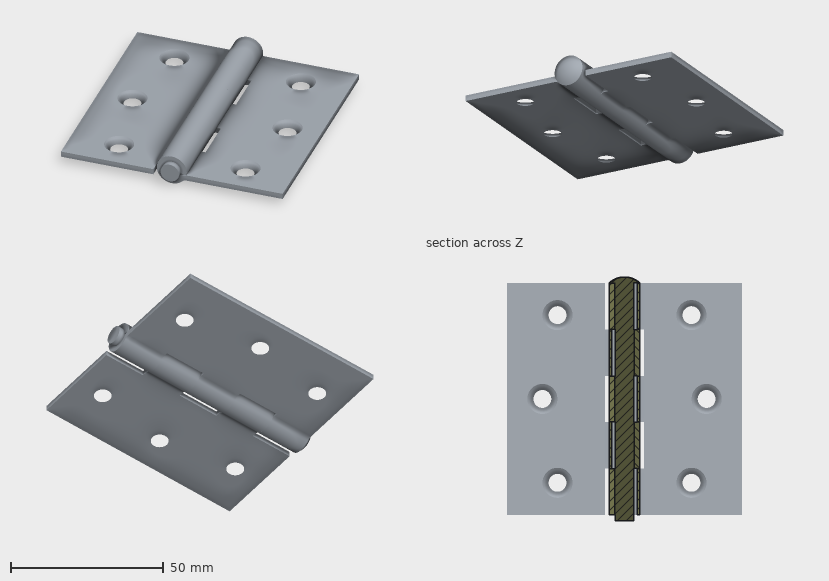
import cadquery as cq
import math

leaf_length = 76.0
hinge_width = 77.0
thickness = 2.0
pin_diameter = 6.4
pin_stub = 2.0
head_height = 2.2
knuckle_count = 5
leaf_gap = 1.2
leaf_top = -1.1

bend_radius = 2.0
curl_end_angle = -12

screw_diameter = 5.8
countersink_diameter = 9.85
countersink_angle = 90
screw_pitch = 27.5
outer_screw_x = 22.0
middle_screw_x = 26.9

pin_radius = pin_diameter / 2
barrel_radius = pin_radius + thickness
knuckle_length = leaf_length / knuckle_count
leaf_edge = barrel_radius + leaf_gap
leaf_bottom = leaf_top - thickness
front_end = -leaf_length / 2
back_end = leaf_length / 2

bend_z = leaf_bottom - bend_radius
bend_x = math.sqrt((barrel_radius + bend_radius) ** 2 - bend_z**2)
bend_angle = math.degrees(math.atan2(bend_z, bend_x))


def polar(radius, angle, center=(0, 0)):
    """Point at a radius and an angle in degrees around a center in the XZ plane."""
    turn = math.radians(angle)
    return center[0] + radius * math.cos(turn), center[1] + radius * math.sin(turn)


def cylinder_along_y(radius, start, length):
    """Cylinder on the hinge axis, running from start toward +Y."""
    return cq.Workplane("XZ", origin=(0, start, 0)).circle(radius).extrude(-length)


def make_knuckle(start):
    """Rolled end of the sheet for the +X leaf, including its tab up to the plate."""
    bend_center = (bend_x, bend_z)
    inner_bend_radius = bend_radius + thickness
    bend_middle = (90 + bend_angle + 180) / 2
    curl_middle = (curl_end_angle + 360 + bend_angle) / 2
    return (
        cq.Workplane("XZ", origin=(0, start, 0))
        .moveTo(*polar(pin_radius, curl_end_angle))
        .threePointArc(polar(pin_radius, curl_middle), polar(pin_radius, bend_angle))
        .threePointArc(polar(inner_bend_radius, bend_middle, bend_center), (bend_x, leaf_top))
        .lineTo(leaf_edge, leaf_top)
        .lineTo(leaf_edge, leaf_bottom)
        .lineTo(bend_x, leaf_bottom)
        .threePointArc(
            polar(bend_radius, bend_middle, bend_center), polar(barrel_radius, bend_angle)
        )
        .threePointArc(polar(barrel_radius, curl_middle), polar(barrel_radius, curl_end_angle))
        .close()
        .extrude(-knuckle_length)
    )


def make_leaf(knuckle_numbers):
    """Leaf on the +X side, with knuckles at the given places counted from the -Y end."""
    plate_width = hinge_width / 2 - leaf_edge
    leaf = cq.Workplane("XY").box(plate_width, leaf_length, thickness).translate(
        (leaf_edge + plate_width / 2, 0, leaf_top - thickness / 2)
    )
    for number in knuckle_numbers:
        leaf = leaf.union(make_knuckle(front_end + number * knuckle_length))

    screw_points = [
        (outer_screw_x, -screw_pitch),
        (middle_screw_x, 0),
        (outer_screw_x, screw_pitch),
    ]
    return (
        cq.Workplane("XY", origin=(0, 0, leaf_top))
        .add(leaf)
        .pushPoints(screw_points)
        .cskHole(screw_diameter, countersink_diameter, countersink_angle)
    )


def make_pin():
    """Pin with a short plain stub at the -Y end and a domed head at the +Y end."""
    shaft = cylinder_along_y(pin_radius, front_end - pin_stub, leaf_length + pin_stub)
    dome_radius = (barrel_radius**2 + head_height**2) / (2 * head_height)
    dome_center = back_end + head_height - dome_radius
    dome = cq.Workplane("XY").sphere(dome_radius).translate((0, dome_center, 0))
    head = cylinder_along_y(barrel_radius, back_end, head_height).intersect(dome)
    return shaft.union(head)


right_leaf = make_leaf(range(0, knuckle_count, 2))
left_leaf = make_leaf(range(1, knuckle_count, 2)).mirror("YZ")
pin = make_pin()

bodies = [right_leaf, left_leaf, pin]
result = cq.Compound.makeCompound([body.solids().val() for body in bodies])